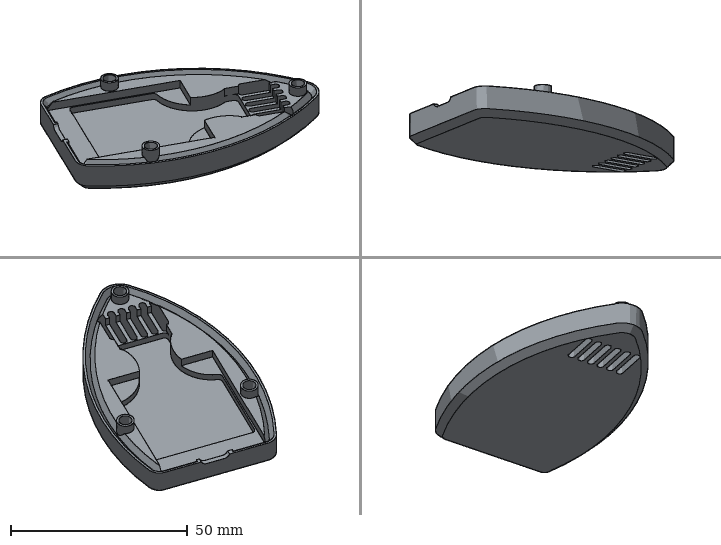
import cadquery as cq
import math

side_radius = 69.4
half_beam = 24.0
widest_y = 27.05
bow_radius = 6.0
stern_corner_radius = 4.0
rim_height = 8.7
bottom_chamfer = 2.0

rim_width = 0.7
groove_width = 2.7
groove_depth = 1.75
valley_height = rim_height - groove_depth
valley_inset = rim_width + groove_width / 2

boss_diameter = 5.0
boss_top = 11.5
hole_top_diameter = 3.7
hole_bottom_diameter = 0.6
hole_depth = 10.0
bow_boss_y = 71.3
side_boss_x = 19.0
side_boss_y = 21.4

board_width = 32.0
board_rear_y = 1.4
board_end_y = 41.4
board_floor = 6.2

bottle_floor = 4.2
bottle_body_width = 31.1
bottle_rear_y = 8.15
bottle_neck_width = 16.0
bottle_end_y = 55.85
waist_width = 11.4
waist_y = 45.4
waist_radius = 11.6
bottle_corner_radius = 1.3

vent_rear_y = 52.0
vent_end_y = 65.0
vent_floor = 6.2
slot_count = 6
slot_pitch = 3.2
slot_width = 2.0
slot_length = 11.0
slot_center_y = 61.8

port_width = 8.8
port_x = -0.25
port_height = 3.5
port_floor = 7.5
pad_width = 11.0


def hull_prism(inset, height):
    """Prism of the hull outline moved inward by inset, with rounded bow and stern corners."""
    radius = side_radius - inset
    beam = half_beam - inset
    arc_center_x = radius - beam
    sharp_bow_y = widest_y + math.sqrt(radius**2 - arc_center_x**2)
    stern_x = math.sqrt(radius**2 - (inset - widest_y) ** 2) - arc_center_x
    sharp_hull = (
        cq.Workplane("XY")
        .moveTo(-stern_x, inset)
        .lineTo(stern_x, inset)
        .threePointArc((beam, widest_y), (0, sharp_bow_y))
        .threePointArc((-beam, widest_y), (-stern_x, inset))
        .close()
        .extrude(height)
    )
    round_bow = sharp_hull.edges("|Z and >Y").fillet(bow_radius - inset)
    return round_bow.edges("|Z and <Y").fillet(stern_corner_radius - inset)


def tapered_core(top_inset):
    """Loft from the groove valley up to a hull outline at rim height."""
    bottom = hull_prism(valley_inset, valley_height).faces(">Z").wires().val()
    top = hull_prism(top_inset, rim_height).faces(">Z").wires().val()
    return cq.Workplane(cq.Solid.makeLoft([bottom, top], True))


def pocket_box(width, rear_y, end_y, floor):
    """Box centred on X = 0 that reaches from floor to the rim."""
    return (
        cq.Workplane("XY", origin=(0, rear_y, floor))
        .box(width, end_y - rear_y, rim_height - floor, centered=(True, False, False))
    )


def rim_groove():
    """V groove between the rim and the inner deck, left out at the stern pad."""
    outer_slope = tapered_core(rim_width)
    inner_slope = tapered_core(rim_width + groove_width)
    pad_end_y = rim_width + groove_width
    pad = pocket_box(pad_width, 0, pad_end_y, valley_height)
    return outer_slope.cut(inner_slope).cut(pad)


def bottle_pocket():
    """Pocket with a wide body, a waist of two inward arcs and a narrower neck."""
    body_x = bottle_body_width / 2
    waist_x = waist_width / 2
    neck_x = bottle_neck_width / 2
    arc_center_x = waist_x + waist_radius
    shoulder_y = waist_y - math.sqrt(waist_radius**2 - (arc_center_x - body_x) ** 2)
    neck_y = waist_y + math.sqrt(waist_radius**2 - (arc_center_x - neck_x) ** 2)
    return (
        cq.Workplane("XY", origin=(0, 0, bottle_floor))
        .moveTo(-body_x, bottle_rear_y)
        .lineTo(body_x, bottle_rear_y)
        .lineTo(body_x, shoulder_y)
        .threePointArc((waist_x, waist_y), (neck_x, neck_y))
        .lineTo(neck_x, bottle_end_y)
        .lineTo(-neck_x, bottle_end_y)
        .lineTo(-neck_x, neck_y)
        .threePointArc((-waist_x, waist_y), (-body_x, shoulder_y))
        .close()
        .extrude(rim_height - bottle_floor)
        .edges("|Z")
        .fillet(bottle_corner_radius)
    )


def vent_slots():
    """Row of round-ended slots through the floor."""
    return (
        cq.Workplane("XY", origin=(0, slot_center_y, 0))
        .rarray(slot_pitch, 1, slot_count, 1)
        .slot2D(slot_length, slot_width, 90)
        .extrude(rim_height)
    )


def port_opening():
    """Round-ended opening through the stern wall; its upper part lies above the rim."""
    port_center_z = port_floor + port_height / 2
    return (
        cq.Workplane("XZ", origin=(port_x, 0, port_center_z))
        .slot2D(port_width, port_height)
        .extrude(-board_rear_y)
    )


def screw_boss():
    """Boss from the groove valley up to its top."""
    return (
        cq.Workplane("XY", origin=(0, 0, valley_height))
        .circle(boss_diameter / 2)
        .extrude(boss_top - valley_height)
    )


def screw_hole():
    """Tapered hole, wide at the boss top and narrow at its bottom."""
    cone = cq.Solid.makeCone(hole_bottom_diameter / 2, hole_top_diameter / 2, hole_depth)
    return cq.Workplane(cone).translate((0, 0, boss_top - hole_depth))


body = hull_prism(0, rim_height).faces("<Z").chamfer(bottom_chamfer)
body = body.cut(rim_groove())
body = body.cut(pocket_box(board_width, board_rear_y, board_end_y, board_floor))
body = body.cut(pocket_box(bottle_neck_width, vent_rear_y, vent_end_y, vent_floor))
body = body.cut(bottle_pocket())
body = body.cut(vent_slots())
body = body.cut(port_opening())

boss_points = [(0, bow_boss_y), (-side_boss_x, side_boss_y), (side_boss_x, side_boss_y)]
for x, y in boss_points:
    body = body.union(screw_boss().translate((x, y, 0)))
    body = body.cut(screw_hole().translate((x, y, 0)))

result = body